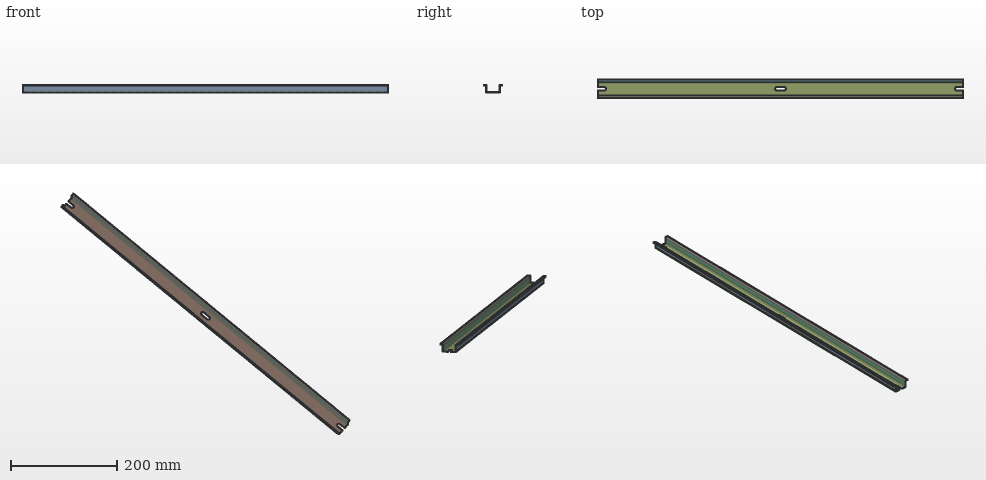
import cadquery as cq

length = 689.0
width = 35.0
height = 15.0

wall = 1.5
channel_width = 27.0
wall_outer = channel_width / 2
wall_inner = wall_outer - wall
inside_bend_radius = 1.0
outside_bend_radius = inside_bend_radius + wall

slot_length = 20.0
slot_width = 6.0
end_notch_depth = 15.0


def hat_section():
    """Closed outline of the rail, a channel with outward flanges, in the YZ plane."""
    edge = width / 2
    under_flange = height - wall
    return [
        (-wall_outer, 0),
        (wall_outer, 0),
        (wall_outer, under_flange),
        (edge, under_flange),
        (edge, height),
        (wall_inner, height),
        (wall_inner, wall),
        (-wall_inner, wall),
        (-wall_inner, height),
        (-edge, height),
        (-edge, under_flange),
        (-wall_outer, under_flange),
    ]


def floor_slot(x_centre, overall_length):
    """Round-ended cutter that passes through the floor."""
    return (
        cq.Workplane("XY")
        .center(x_centre, 0)
        .slot2D(overall_length, slot_width)
        .extrude(wall)
    )


rail = (
    cq.Workplane("YZ")
    .workplane(offset=-length / 2)
    .polyline(hat_section())
    .close()
    .extrude(length)
)



def round_bends(body, y, z, radius):
    """Round the pair of lengthwise edges at height z and distance y either side of centre."""
    for side in (-1, 1):
        edge_point = (0, side * y, z)
        body = body.edges(cq.selectors.NearestToPointSelector(edge_point)).fillet(radius)
    return body


rail = round_bends(rail, wall_outer, 0, outside_bend_radius)
rail = round_bends(rail, wall_inner, wall, inside_bend_radius)
rail = round_bends(rail, wall_inner, height, outside_bend_radius)
rail = round_bends(rail, wall_outer, height - wall, inside_bend_radius)

rail = rail.cut(floor_slot(0, slot_length))

for end_x in (-length / 2, length / 2):
    rail = rail.cut(floor_slot(end_x, 2 * end_notch_depth))

result = rail